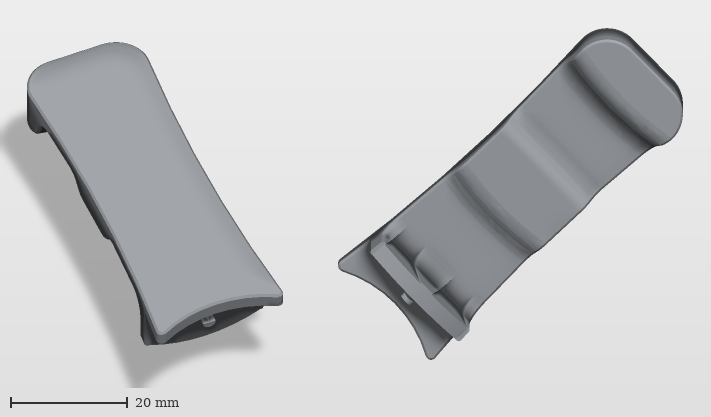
import cadquery as cq
import math

length = 64.0
tip_half_width = 12.0
rear_half_width = 11.65
waist_half_width = 10.0
waist_x = 32.65
notch_x = 61.4
tip_x = 64.9
rear_corner_radius = 6.0
tip_radius = 0.95
edge_chamfer = 0.4

plate_depth = 3.1
hump_depth = 6.0
block_depth = 9.1
wall_side_depth = 11.3
wall_depth = 13.65

flank_radius = 3.0
block_flank_angle = 65.0
hump_flank_angle = 47.0
block_flank_x = 6.0
hump_start_x = 21.5
hump_end_x = 34.8
flank_bow = 0.85

wall_back_x = 53.65
arch_radius = 3.4
wall_front_x = 56.8
foot_half_width = 10.3

recess_depth = 0.3
rib_half_width = 1.4
pad_inner_y = 10.1
recess_side_angle = 12.0

peg_radius = 1.15
peg_length = 2.0

tolerance = 0.005
margin = 3.2
cut_half_width = tip_half_width + margin


def plan_prism():
    """Full-height body with the waisted plan outline."""
    body = (
        cq.Workplane("XY")
        .moveTo(0, -rear_half_width)
        .threePointArc((waist_x, -waist_half_width), (tip_x, -tip_half_width))
        .threePointArc((notch_x, 0), (tip_x, tip_half_width))
        .threePointArc((waist_x, waist_half_width), (0, rear_half_width))
        .close()
        .extrude(-wall_depth)
    )
    body = body.edges("|Z and <X").fillet(rear_corner_radius)
    return body.edges("|Z and >X").fillet(tip_radius)


def flank_points(drop, angle):
    """Points of an S-shaped rise by `drop`: two equal arcs joined by a straight slope."""
    a = math.radians(angle)
    arc_run = flank_radius * math.sin(a)
    arc_rise = flank_radius * (1 - math.cos(a))
    mid_run = flank_radius * math.sin(a / 2)
    mid_rise = flank_radius * (1 - math.cos(a / 2))
    slope_rise = drop - 2 * arc_rise
    run = 2 * arc_run + slope_rise / math.tan(a)
    return [
        (0, 0),
        (mid_run, mid_rise),
        (arc_run, arc_rise),
        (run - arc_run, drop - arc_rise),
        (run - mid_run, drop - mid_rise),
        (run, drop),
    ]


def add_flank(sketch, start, drop, angle):
    """Continue the sketch with an S-shaped flank from `start`, rising, or falling for a negative drop."""
    start_x, start_z = start
    sense = math.copysign(1, drop)
    points = [(start_x + run, start_z + sense * rise) for run, rise in flank_points(abs(drop), angle)]
    return (
        sketch.lineTo(*points[0])
        .threePointArc(points[1], points[2])
        .lineTo(*points[3])
        .threePointArc(points[4], points[5])
    )


def underside_section(y, bow):
    """Closed section of the space below the block, plate and hump, behind the wall."""
    arch_mid = arch_radius * (1 - math.sqrt(0.5))
    sketch = cq.Workplane("XZ", origin=(0, y, 0)).moveTo(-margin, -wall_depth - margin)
    sketch = sketch.lineTo(-margin, -block_depth)
    block_rise = block_depth - plate_depth
    hump_rise = hump_depth - plate_depth
    sketch = add_flank(sketch, (block_flank_x + bow, -block_depth), block_rise, block_flank_angle)
    sketch = add_flank(sketch, (hump_start_x, -plate_depth), -hump_rise, hump_flank_angle)
    sketch = add_flank(sketch, (hump_end_x + bow, -hump_depth), hump_rise, hump_flank_angle)
    sketch = (
        sketch.lineTo(wall_back_x - arch_radius, -plate_depth)
        .threePointArc(
            (wall_back_x - arch_mid, -plate_depth - arch_mid),
            (wall_back_x, -plate_depth - arch_radius),
        )
        .lineTo(wall_back_x, -wall_depth - margin)
        .close()
    )
    return sketch.val()


def underside_space():
    """Space below the part, lofted through three sections so the front-facing flanks bulge."""
    outer_bow = flank_bow * (1 - (cut_half_width / waist_half_width) ** 2)
    sections = [
        underside_section(-cut_half_width, outer_bow),
        underside_section(0, flank_bow),
        underside_section(cut_half_width, outer_bow),
    ]
    return cq.Workplane(cq.Solid.makeLoft(sections))


def front_space():
    """Space below the plate in front of the wall."""
    return (
        cq.Workplane("XY", origin=(wall_front_x, 0, -plate_depth - wall_depth))
        .box(length, 2 * cut_half_width, wall_depth, centered=(False, True, False))
    )


def wall_foot():
    """Region kept above the curved foot of the wall."""
    return (
        cq.Workplane("YZ")
        .moveTo(-cut_half_width, 0)
        .lineTo(-cut_half_width, -wall_side_depth)
        .lineTo(-foot_half_width, -wall_side_depth)
        .threePointArc((0, -wall_depth), (foot_half_width, -wall_side_depth))
        .lineTo(cut_half_width, -wall_side_depth)
        .lineTo(cut_half_width, 0)
        .close()
        .extrude(length)
    )


def wall_recess(side):
    """Shallow recess with sloping sides on one half of the wall's back face."""
    slope = math.tan(math.radians(recess_side_angle))
    rib_top = rib_half_width + slope * (wall_depth - plate_depth)
    pad_top = pad_inner_y - slope * (wall_side_depth - plate_depth)
    pad_foot = pad_inner_y + slope * (wall_depth - wall_side_depth)
    return (
        cq.Workplane("YZ", origin=(wall_back_x - arch_radius, 0, 0))
        .polyline([
            (side * rib_top, -plate_depth),
            (side * pad_top, -plate_depth),
            (side * pad_foot, -wall_depth),
            (side * rib_half_width, -wall_depth),
        ])
        .close()
        .extrude(arch_radius + recess_depth)
    )


def peg():
    """Half-round peg on the front of the wall, with a half cone above it tapering to its tip."""
    reach = peg_length + edge_chamfer
    base = cq.Vector(wall_front_x - edge_chamfer, 0, peg_radius - block_depth)
    forward = cq.Vector(1, 0, 0)
    lower_half = (
        cq.Workplane("YZ", origin=base.toTuple())
        .moveTo(-peg_radius, 0)
        .threePointArc((0, -peg_radius), (peg_radius, 0))
        .close()
        .extrude(reach)
    )
    root_radius = peg_radius * reach / peg_length
    cone = cq.Workplane(cq.Solid.makeCone(root_radius, 0, reach, base, forward))
    return lower_half.union(cone)


def is_wall_front(edge):
    """True for an edge lying in the front face of the wall."""
    box = edge.BoundingBox()
    return abs(box.xmin - wall_front_x) < tolerance and abs(box.xmax - wall_front_x) < tolerance


def underside_rim(body):
    """Edges where the underside and the wall meet the outline of the part."""
    rim = []
    for edge in body.edges().vals():
        box = edge.BoundingBox()
        below_sides = box.zmax < -plate_depth + tolerance
        at_wall_end = box.zmax < -wall_depth + tolerance
        on_one_side = box.ymin * box.ymax > 0
        at_rear = box.xmax < tolerance
        at_notch = box.xmin > notch_x - tolerance
        if below_sides and not at_wall_end and (on_one_side or at_rear or at_notch):
            rim.append(edge)
    return rim


body = plan_prism()
body = body.cut(underside_space()).cut(front_space())
body = body.faces(">Z").edges().chamfer(edge_chamfer)
for wall_front_turn in (False, True):
    turn_edges = [edge for edge in underside_rim(body) if is_wall_front(edge) == wall_front_turn]
    body = body.newObject(turn_edges).chamfer(edge_chamfer)
body = body.intersect(wall_foot())
for recess_side in (-1, 1):
    body = body.cut(wall_recess(recess_side))
result = body.union(peg())